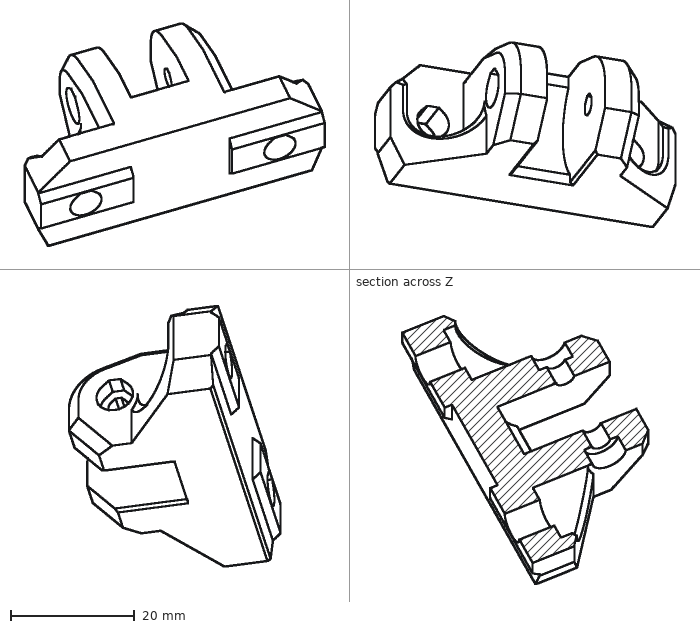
import math

import cadquery as cq


arm_radius = 8.0
pin_height = 10.35
part_height = 20.0
arm_top_start_x = 4.0
arm_nose_bottom = 6.0
arm_foot_x = -3.0
arm_outer_y = 11.5
arm_chamfer = 2.0

slot_half_width = 4.97
slot_upper_x = 9.35
slot_lower_x = 8.6
slot_hollow_radius = 12.1

underside_chamfer = 0.5

pin_hole_radius = 1.65
pin_head_radius = 3.0
pin_head_depth = 3.0
pin_flat_rise = 0.2
head_flat_rise = 0.3

base_front_x = 13.6
base_back_x = 18.6
base_half_width = 24.5
base_top_corner = 5.5
base_bottom_corner_y = 1.9
base_bottom_corner_z = 5.4

wing_front_x = 2.8
wing_end_x = 12.43
wing_slope_top_z = 17.0

screw_y = 16.75
screw_height = 10.0
screw_hole_radius = 2.7
screw_flat_rise = 0.13
pocket_radius = screw_y - arm_outer_y
pocket_edge_chamfer = 1.0

tab_thickness = 1.3
tab_inner_y = 8.5
tab_half_height = 3.0

cut_margin = 1.0
tolerance = 0.01


def arm_outline():
    """Side profile of the arms, from the rounded nose back into the base plate."""
    rise = part_height - pin_height
    corner_distance = math.hypot(arm_top_start_x, rise)
    corner_angle = math.atan2(rise, arm_top_start_x)
    tangent_angle = corner_angle + math.acos(arm_radius / corner_distance)
    middle_angle = (tangent_angle + math.pi) / 2

    def on_nose(angle):
        return (arm_radius * math.cos(angle), pin_height + arm_radius * math.sin(angle))

    return (
        cq.Workplane("XZ", origin=(0, arm_outer_y, 0))
        .moveTo(-arm_radius, pin_height)
        .threePointArc(on_nose(middle_angle), on_nose(tangent_angle))
        .lineTo(arm_top_start_x, part_height)
        .lineTo(base_back_x, part_height)
        .lineTo(base_back_x, 0)
        .lineTo(arm_foot_x, 0)
        .lineTo(-arm_radius, arm_nose_bottom)
        .close()
    )


def make_arms():
    """Arm block with the outer rim chamfered everywhere except the underside and the back."""
    arms = arm_outline().extrude(2 * arm_outer_y)
    rim_edges = []
    for edge in arms.faces("<Y or >Y").edges().vals():
        center = edge.Center()
        if center.z > cut_margin and center.x < base_back_x - cut_margin:
            rim_edges.append(edge)
    return arms.newObject(rim_edges).chamfer(arm_chamfer)


def make_base_and_wings():
    """Base plate and both wings, trimmed to the chamfered end profile."""
    body = cq.Workplane("XY").box(
        base_back_x - base_front_x,
        2 * base_half_width,
        part_height,
        centered=(False, True, False),
    )
    body = body.translate((base_front_x, 0, 0))
    for side in (-1, 1):
        body = body.union(make_wing(side))

    foot_half_width = base_half_width - base_bottom_corner_y
    top_half_width = base_half_width - base_top_corner
    right_half = [
        (foot_half_width, 0),
        (base_half_width, base_bottom_corner_z),
        (base_half_width, part_height - base_top_corner),
        (top_half_width, part_height),
    ]
    left_half = [(-y, z) for y, z in reversed(right_half)]
    end_profile = cq.Workplane("YZ").polyline(right_half + left_half).close().extrude(base_back_x)
    return body.intersect(end_profile)


def make_wing(side):
    """Tapering wing on one side, with its screw pocket, pocket rim chamfer and sloped top."""
    root_y = arm_outer_y - arm_chamfer
    taper = (wing_end_x - wing_front_x) / (base_half_width - arm_outer_y)
    root_x = wing_front_x - taper * arm_chamfer
    wing = (
        cq.Workplane("XY")
        .polyline(
            [
                (base_back_x, side * root_y),
                (base_back_x, side * base_half_width),
                (wing_end_x, side * base_half_width),
                (root_x, side * root_y),
            ]
        )
        .close()
        .extrude(part_height)
    )
    wing = wing.cut(make_pocket(side))

    rim_edges = []
    for edge in wing.edges().vals():
        center = edge.Center()
        beside_pocket = abs(side * center.y - screw_y) < pocket_radius + tolerance
        at_front = center.x < base_front_x - tolerance
        at_mid_height = cut_margin < center.z < part_height - cut_margin
        if beside_pocket and at_front and at_mid_height:
            rim_edges.append(edge)
    wing = wing.newObject(rim_edges).chamfer(pocket_edge_chamfer)

    wing = wing.cut(make_wing_slope(side))
    arm_space = cq.Workplane("XY").box(
        2 * base_front_x, 2 * arm_outer_y, part_height, centered=(True, True, False)
    )
    return wing.cut(arm_space)


def make_pocket(side):
    """U-shaped space in front of the base plate for a screw head, open at the top."""
    center_y = side * screw_y
    open_top = part_height + cut_margin
    pocket_start_x = -arm_radius
    return (
        cq.Workplane("YZ", origin=(pocket_start_x, 0, 0))
        .moveTo(center_y - pocket_radius, open_top)
        .lineTo(center_y - pocket_radius, screw_height)
        .threePointArc(
            (center_y, screw_height - pocket_radius),
            (center_y + pocket_radius, screw_height),
        )
        .lineTo(center_y + pocket_radius, open_top)
        .close()
        .extrude(base_front_x - pocket_start_x)
    )


def make_wing_slope(side):
    """Space above the 45 degree slope that runs down from the base plate over the wing tip."""
    open_top = part_height + cut_margin
    slope_start_x = base_front_x - wing_slope_top_z
    return (
        cq.Workplane("XZ", origin=(0, side * screw_y, 0))
        .polyline(
            [
                (base_front_x, wing_slope_top_z),
                (base_front_x, open_top),
                (slope_start_x, open_top),
                (slope_start_x, 0),
            ]
        )
        .close()
        .extrude(-side * (base_half_width - screw_y))
    )


def teardrop(plane, center, radius, flat_rise, depth):
    """Hole with 45 degree shoulders and a flat roof slightly above the circle."""
    shoulder = radius * math.sqrt(0.5)
    roof = radius + flat_rise
    roof_half_width = 2 * shoulder - roof
    return (
        cq.Workplane(plane, origin=center)
        .moveTo(-shoulder, shoulder)
        .threePointArc((0, -radius), (shoulder, shoulder))
        .lineTo(roof_half_width, roof)
        .lineTo(-roof_half_width, roof)
        .close()
        .extrude(depth)
    )


def make_tab(side):
    """Locating tab on the back of the plate, with 45 degree upper and lower flanks."""
    root_half_height = tab_half_height + tab_thickness
    return (
        cq.Workplane("XZ", origin=(0, side * tab_inner_y, 0))
        .polyline(
            [
                (base_back_x, screw_height - root_half_height),
                (base_back_x + tab_thickness, screw_height - tab_half_height),
                (base_back_x + tab_thickness, screw_height + tab_half_height),
                (base_back_x, screw_height + root_half_height),
            ]
        )
        .close()
        .extrude(-side * (base_half_width - tab_inner_y))
    )


def cut_arm_slot(body):
    """Slot between the arms, hollowed round the pin axis where the mating part swings."""
    upper_edge_z = pin_height + math.sqrt(slot_hollow_radius**2 - slot_upper_x**2)
    lower_edge_z = pin_height - math.sqrt(slot_hollow_radius**2 - slot_lower_x**2)
    slot_front_x = -arm_radius - cut_margin
    slot = (
        cq.Workplane("XZ", origin=(0, slot_half_width, 0))
        .moveTo(slot_front_x, 0)
        .lineTo(slot_lower_x, 0)
        .lineTo(slot_lower_x, lower_edge_z)
        .threePointArc((slot_hollow_radius, pin_height), (slot_upper_x, upper_edge_z))
        .lineTo(slot_upper_x, part_height)
        .lineTo(slot_front_x, part_height)
        .close()
        .extrude(2 * slot_half_width)
    )
    body = body.cut(slot)
    underside_edges = []
    for edge in body.faces("<Z").edges("|X").vals():
        if abs(edge.Center().y) < slot_half_width + tolerance:
            underside_edges.append(edge)
    return body.newObject(underside_edges).chamfer(underside_chamfer)


def cut_holes(body):
    """Pin hole with a recess on each outer face, and the two screw holes through the base."""
    pin_center = (0, arm_outer_y, pin_height)
    body = body.cut(teardrop("XZ", pin_center, pin_hole_radius, pin_flat_rise, 2 * arm_outer_y))
    for side in (-1, 1):
        recess_center = (0, side * arm_outer_y, pin_height)
        recess = teardrop("XZ", recess_center, pin_head_radius, head_flat_rise, side * pin_head_depth)
        body = body.cut(recess)
        screw_center = (0, side * screw_y, screw_height)
        screw_length = base_back_x + tab_thickness
        body = body.cut(
            teardrop("YZ", screw_center, screw_hole_radius, screw_flat_rise, screw_length)
        )
    return body


result = make_base_and_wings().union(make_arms())
result = result.faces(">X").edges("<Z").chamfer(underside_chamfer)
for tab_side in (-1, 1):
    result = result.union(make_tab(tab_side))
result = cut_arm_slot(result)
result = cut_holes(result)